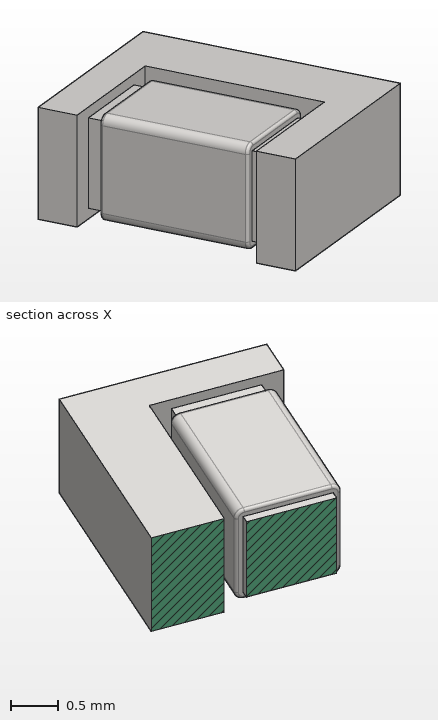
import cadquery as cq

frame_length = 3.05
frame_width = 2.36
frame_height = 1.27
leg_thickness = 0.463
back_thickness = 0.83

core_side = 1.025

winding_length = 1.76
winding_side = 1.205
winding_corner_radius = 0.105
winding_end_radius = 0.035

slot_length = frame_length - 2 * leg_thickness
slot_depth = frame_width - back_thickness
slot_center_y = -frame_width / 2 + slot_depth / 2


def make_frame():
    """Block with a through-height slot between the legs."""
    block = cq.Workplane("XY").box(frame_length, frame_width, frame_height)
    slot = (
        cq.Workplane("XY")
        .box(slot_length, slot_depth, frame_height)
        .translate((0, slot_center_y, 0))
    )
    return block.cut(slot)


def make_core_bar():
    """Square bar running through the slot and into both legs."""
    bar_length = slot_length + leg_thickness
    bar = cq.Workplane("XY").box(bar_length, core_side, core_side)
    return bar.translate((0, slot_center_y, 0))


def make_winding():
    """Square block with rounded long edges and softly rounded end rims."""
    winding = (
        cq.Workplane("XY")
        .box(winding_length, winding_side, winding_side)
        .edges("|X")
        .fillet(winding_corner_radius)
        .faces("<X or >X")
        .edges()
        .fillet(winding_end_radius)
    )
    return winding.translate((0, slot_center_y, 0))


result = make_frame().union(make_core_bar()).union(make_winding())